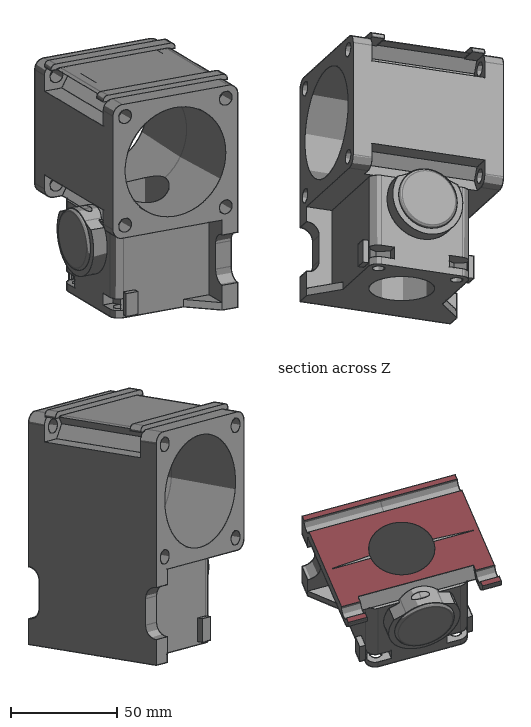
import cadquery as cq
import math

WIDTH = 76.1
DEPTH = 67.0
STRAP_TOP = 113.5
BLOCK_TOP = 111.3
BLOCK_BOTTOM = 44.8
BLOCK_CORNER_RADIUS = 5.0
CUT_MARGIN = 1.1
V_TAPER = math.tan(math.radians(30))

BORE_RADIUS = 27.0
BORE_Y = 33.5
BORE_Z = (BLOCK_TOP + BLOCK_BOTTOM) / 2
BOLT_RADIUS = 3.4
BOLT_OFFSET = 27.0

NOTCH_LENGTH = 57.1
NOTCH_FLOOR_DEPTH = 9.3
NOTCH_BELOW_BOLT = 6.6
NOTCH_ABOVE_BOLT = 5.8

STRAP_WIDTH = 6.4
STRAP_DEPTH = 66.6
STRAP_THICKNESS = 3.0
STRAP_EDGE_RADIUS = 2.5

BOX_WIDTH = 50.4
BOX_FRONT = 8.1
BOX_CORNER_RADIUS = 4.8
PLATE_THICKNESS = 8.4
PLATE_FRONT = DEPTH - PLATE_THICKNESS
WIRE_HOLE_RADIUS = 15.4

SIDE_SLOT_DEPTH = 6.4
SIDE_SLOT_BOTTOM = 12.4
SIDE_SLOT_TOP = 37.3
SIDE_SLOT_RADIUS = 6.1

FOOT_HEIGHT = 3.7
FOOT_REACH = 13.7

POCKET_BOTTOM = FOOT_HEIGHT
POCKET_TOP = 9.5
POCKET_INNER_X = 13.8
POCKET_APEX_X = 19.7
POCKET_OUTER_X = 25.0
POCKET_WALL_DEPTH = 5.2
SCREW_RADIUS = 3.0
SCREW_Y = 13.6

PAD_THICKNESS = 2.8
PAD_FRONT = 12.6
PAD_LENGTH = 6.2
PAD_BOTTOM = 1.6
PAD_TOP = 12.9

BOSS_FRONT = 0.8
BOSS_BACK = 13.0
BOSS_Z = 33.4
BOSS_RADIUS = 17.7
NECK_RADIUS = 15.0
SHOULDER_X = 15.1
SHOULDER_Z = 42.7
FLANK_MID = (12.0, 43.7)
NECK_X = 9.1
CAP_RADIUS = 14.8
CAP_THICKNESS = 1.5
CAP_EDGE_RADIUS = 1.2


def box_between(x_range, y_range, z_range):
    """Rectangular block given by its limits along each axis."""
    size = [high - low for low, high in (x_range, y_range, z_range)]
    corner = (x_range[0], y_range[0], z_range[0])
    return cq.Workplane("XY").box(*size, centered=False).translate(corner)


def rod_along_x(radius, y, z, length):
    """Cylinder along X, centred on X = 0."""
    return cq.Workplane("YZ").center(y, z).circle(radius).extrude(length / 2, both=True)


def mirrored_pair(shape):
    """The shape together with its mirror image across X = 0."""
    return shape.union(shape.mirror("YZ"))


def block_with_plate():
    """Bored block, square-edged at its lower rear where the mounting plate continues down."""
    block = box_between((-WIDTH / 2, WIDTH / 2), (0, DEPTH), (BLOCK_BOTTOM, BLOCK_TOP))
    block = block.edges("|X and (>Z or <Y)").fillet(BLOCK_CORNER_RADIUS)
    plate = box_between((-WIDTH / 2, WIDTH / 2), (PLATE_FRONT, DEPTH), (0, BLOCK_BOTTOM))
    return block.union(plate)


def lower_box():
    """Box under the block with rounded front corners, with its top against the block."""
    box = box_between((-BOX_WIDTH / 2, BOX_WIDTH / 2), (BOX_FRONT, DEPTH), (0, BLOCK_BOTTOM))
    return box.edges("|Z and <Y").fillet(BOX_CORNER_RADIUS)


def strap(x_start):
    """Strap over the block with rounded ends."""
    bar = box_between(
        (x_start, x_start + STRAP_WIDTH), (0, STRAP_DEPTH), (STRAP_TOP - STRAP_THICKNESS, STRAP_TOP)
    )
    return bar.edges("|X and >Z").fillet(STRAP_EDGE_RADIUS)


def access_notch(bolt_z):
    """V-bottomed cutter for the front edge of the block, with its apex level with one bolt hole."""
    low = bolt_z - NOTCH_BELOW_BOLT
    high = bolt_z + NOTCH_ABOVE_BOLT
    apex_y = NOTCH_FLOOR_DEPTH + NOTCH_BELOW_BOLT * V_TAPER
    profile = [
        (-CUT_MARGIN, low),
        (NOTCH_FLOOR_DEPTH, low),
        (apex_y, bolt_z),
        (apex_y - NOTCH_ABOVE_BOLT * V_TAPER, high),
        (-CUT_MARGIN, high),
    ]
    return cq.Workplane("YZ").polyline(profile).close().extrude(NOTCH_LENGTH / 2, both=True)


def side_slot():
    """Cutter for the opening in the +X side of the plate, rounded at its inner corners."""
    inner_x = WIDTH / 2 - SIDE_SLOT_DEPTH
    slot = box_between(
        (inner_x, WIDTH / 2 + SIDE_SLOT_RADIUS),
        (PLATE_FRONT, DEPTH),
        (SIDE_SLOT_BOTTOM, SIDE_SLOT_TOP),
    )
    return slot.edges("|Y and <X").fillet(SIDE_SLOT_RADIUS)


def foot():
    """Triangular foot in the +X corner between the box and the plate."""
    outline = [
        (BOX_WIDTH / 2, PLATE_FRONT),
        (WIDTH / 2, PLATE_FRONT),
        (BOX_WIDTH / 2, PLATE_FRONT - FOOT_REACH),
    ]
    return cq.Workplane("XY").polyline(outline).close().extrude(FOOT_HEIGHT)


def pad():
    """Rectangular pad on the +X side of the box."""
    return box_between(
        (BOX_WIDTH / 2, BOX_WIDTH / 2 + PAD_THICKNESS),
        (PAD_FRONT, PAD_FRONT + PAD_LENGTH),
        (PAD_BOTTOM, PAD_TOP),
    )


def screw_pocket():
    """Cutter for the +X corner: V-bottomed pocket with a screw hole down through the base."""
    wall_y = BOX_FRONT + POCKET_WALL_DEPTH
    apex_y = wall_y + (POCKET_APEX_X - POCKET_INNER_X) * V_TAPER
    outline = [
        (POCKET_INNER_X, BOX_FRONT),
        (POCKET_INNER_X, wall_y),
        (POCKET_APEX_X, apex_y),
        (POCKET_OUTER_X, apex_y - (POCKET_OUTER_X - POCKET_APEX_X) * V_TAPER),
        (POCKET_OUTER_X, BOX_FRONT),
    ]
    pocket = cq.Workplane("XY").workplane(offset=POCKET_BOTTOM).polyline(outline).close()
    pocket = pocket.extrude(POCKET_TOP - POCKET_BOTTOM)
    hole = cq.Workplane("XY").center(POCKET_APEX_X, SCREW_Y).circle(SCREW_RADIUS).extrude(POCKET_BOTTOM)
    return pocket.union(hole)


def boss():
    """Round boss whose upper part narrows over concave flanks to a smaller neck."""
    neck_z = BOSS_Z + (NECK_RADIUS**2 - NECK_X**2) ** 0.5
    flank_x, flank_z = FLANK_MID
    outline = (
        cq.Workplane("XZ", origin=(0, BOSS_FRONT, 0))
        .moveTo(-SHOULDER_X, SHOULDER_Z)
        .threePointArc((0, BOSS_Z - BOSS_RADIUS), (SHOULDER_X, SHOULDER_Z))
        .threePointArc((flank_x, flank_z), (NECK_X, neck_z))
        .threePointArc((0, BOSS_Z + NECK_RADIUS), (-NECK_X, neck_z))
        .threePointArc((-flank_x, flank_z), (-SHOULDER_X, SHOULDER_Z))
        .close()
    )
    return outline.extrude(BOSS_FRONT - BOSS_BACK)


def make_housing():
    upper_bolt_z = BORE_Z + BOLT_OFFSET
    lower_bolt_z = BORE_Z - BOLT_OFFSET
    rear_notch = access_notch(upper_bolt_z).mirror("XZ").translate((0, 2 * BORE_Y, 0))

    body = block_with_plate().cut(rear_notch)
    for bolt_z in (upper_bolt_z, lower_bolt_z):
        body = body.cut(access_notch(bolt_z))

    body = body.union(lower_box())
    body = body.union(boss())
    for x_start in (-NOTCH_LENGTH / 2, NOTCH_LENGTH / 2 - STRAP_WIDTH):
        body = body.union(strap(x_start))
    body = body.union(mirrored_pair(foot())).union(mirrored_pair(pad()))

    body = body.cut(rod_along_x(BORE_RADIUS, BORE_Y, BORE_Z, WIDTH))
    for bolt_y in (BORE_Y - BOLT_OFFSET, BORE_Y + BOLT_OFFSET):
        for bolt_z in (upper_bolt_z, lower_bolt_z):
            body = body.cut(rod_along_x(BOLT_RADIUS, bolt_y, bolt_z, WIDTH))
    wire_hole = cq.Workplane("XY").center(0, BORE_Y).circle(WIRE_HOLE_RADIUS).extrude(BORE_Z)
    body = body.cut(wire_hole)
    return body.cut(mirrored_pair(side_slot())).cut(mirrored_pair(screw_pocket()))


def make_cap():
    """Round cap seated on the boss face, with a rounded front edge."""
    disc = cq.Workplane("XZ", origin=(0, BOSS_FRONT, BOSS_Z)).circle(CAP_RADIUS).extrude(CAP_THICKNESS)
    return disc.faces("<Y").edges().fillet(CAP_EDGE_RADIUS)


housing = make_housing()
cap = make_cap()
result = cq.Compound.makeCompound([housing.val(), cap.val()])